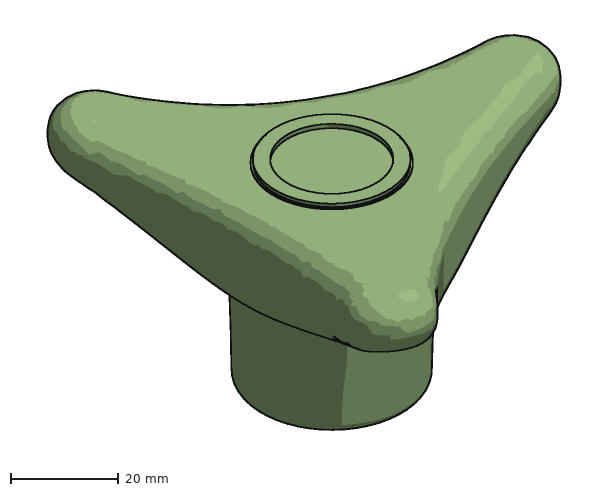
import cadquery as cq
import math

tip_slant = 30
span = 97.8
arm_reach = 45.6
tip_radius = span / 2 - arm_reach * math.cos(math.radians(tip_slant))
prism_top = 58.7
waist = 25.3
seam_angle = 30

dish_center_height = 48.0
dish_radius = 254.3
underside_rim_radius = 58.7
underside_rim_height = 44.0
underside_hub_radius = 19.6
underside_hub_height = 26.2
top_rounding = 6.1
bottom_rounding = 5.1

hub_base_radius = 18.7
hub_neck_radius = 19.4
hub_base_rounding = 2.1
flare_width = 1.1
flare_height = 2.3

seat_diameter = 30.3
seat_top = 48.7
cap_diameter = 29.4
cap_top = 49.5
recess_diameter = 23.0
recess_depth = 1.0

tolerance = 0.05


def polar(radius, degrees):
    angle = math.radians(degrees)
    return (radius * math.cos(angle), radius * math.sin(angle))


def star_prism():
    """Three round tips joined by concave arcs tangent to them."""
    tip_along = arm_reach * math.sin(math.radians(tip_slant))
    tip_across = arm_reach * math.cos(math.radians(tip_slant))
    arc_center = (tip_along**2 + tip_across**2 - (waist - tip_radius)**2) / (
        2 * (tip_along - waist + tip_radius))
    tangent_share = tip_radius / (arc_center - waist + tip_radius)
    join_along = tip_along + (arc_center - tip_along) * tangent_share
    join_across = tip_across * (1 - tangent_share)
    join_radius = math.hypot(join_along, join_across)
    join_angle = math.degrees(math.atan2(join_across, join_along))

    outline = cq.Workplane("XY").moveTo(*polar(join_radius, -90 - join_angle))
    for side_angle in (-90, 30, 150):
        outline = outline.threePointArc(
            polar(waist, side_angle), polar(join_radius, side_angle + join_angle))
        outline = outline.threePointArc(
            polar(arm_reach + tip_radius, side_angle + 60),
            polar(join_radius, side_angle + 120 - join_angle))
    return outline.close().extrude(prism_top)


def dish_height(radius):
    return dish_center_height + dish_radius - math.sqrt(dish_radius**2 - radius**2)


def underside_height(radius):
    rise = underside_rim_height - underside_hub_height
    slope = rise / (underside_rim_radius - underside_hub_radius)
    return underside_hub_height + slope * (radius - underside_hub_radius)


def rim_edges(body, face_height):
    """Outline edges whose ends and middle lie on the face of the given height."""
    def on_face(point):
        radius = math.hypot(point.x, point.y)
        return radius > waist - tolerance and abs(point.z - face_height(radius)) < tolerance

    def on_rim(edge):
        return all(on_face(edge.positionAt(share)) for share in (0, 0.5, 1))

    return [edge for edge in body.edges().vals() if on_rim(edge)]


def arms():
    """Star outline trimmed by a spherical dish above and a cone below."""
    rim = underside_rim_radius
    underside_cone = (
        cq.Workplane("XZ")
        .moveTo(0, underside_hub_height)
        .lineTo(underside_hub_radius, underside_hub_height)
        .lineTo(rim, underside_rim_height)
        .lineTo(rim, prism_top)
        .lineTo(0, prism_top)
        .close()
        .revolve(360, (0, 0, 0), (0, 1, 0))
        .rotate((0, 0, 0), (0, 0, 1), seam_angle)
    )
    dish_ball = (
        cq.Workplane("XY")
        .sphere(dish_radius)
        .rotate((0, 0, 0), (0, 1, 0), -90)
        .translate((0, 0, dish_center_height + dish_radius))
    )
    body = star_prism().intersect(underside_cone).cut(dish_ball)
    top_edges = rim_edges(body, dish_height)
    body = body.newObject(top_edges).fillet(top_rounding)
    bottom_edges = rim_edges(body, underside_height)
    return body.newObject(bottom_edges).fillet(bottom_rounding)


def hub():
    """Slightly tapered round hub, flared where it meets the arms."""
    top = dish_center_height - top_rounding
    neck_height = underside_hub_height - flare_height
    flare_end = (hub_neck_radius + flare_width, underside_hub_height)
    profile = (
        cq.Workplane("XZ")
        .lineTo(hub_base_radius, 0)
        .lineTo(hub_neck_radius, neck_height)
        .tangentArcPoint(flare_end, relative=False)
        .lineTo(0, top)
        .close()
    )
    body = profile.revolve(360, (0, 0, 0), (0, 1, 0))
    return body.faces("<Z").edges().fillet(hub_base_rounding)


def disc(diameter, bottom, top):
    return cq.Workplane("XY", origin=(0, 0, bottom)).circle(diameter / 2).extrude(top - bottom)


cap_bottom = dish_center_height - top_rounding / 2
result = (
    arms()
    .union(hub())
    .union(disc(seat_diameter, cap_bottom, seat_top))
    .union(disc(cap_diameter, cap_bottom, cap_top))
    .cut(disc(recess_diameter, cap_top - recess_depth, cap_top))
)